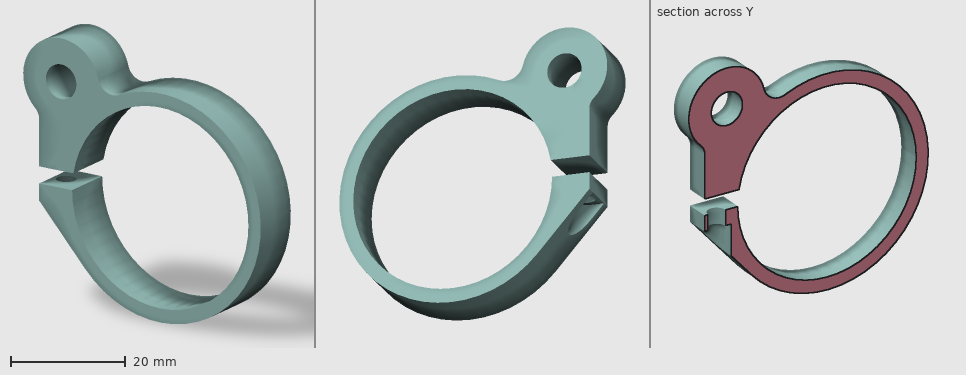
import cadquery as cq
import math

width = 9.5
ring_outer_radius = 20.95
ring_inner_radius = 18.4

eye_x = -20.67
eye_z = 19.45
eye_radius = 7.95
eye_hole_radius = 3.15

jaw_x = -25.3
gap = 3.1
lower_jaw_height = 3.1

ring_blend_radius = 3.15
jaw_blend_radius = 2.5

screw_x = -22.75
screw_hole_radius = 1.8
head_slot_width = 5.8


def disc(x, z, radius):
    """Cylinder along Y, as wide as the part and centred on Y = 0."""
    return cq.Workplane("XZ").center(x, z).circle(radius).extrude(width / 2, both=True)


def jaw_block():
    """Solid web joining eye and ring, with a lower face tangent to the ring."""
    corner_distance = math.hypot(jaw_x, lower_jaw_height)
    corner_angle = math.atan2(-lower_jaw_height, jaw_x)
    tangent_angle = corner_angle + math.acos(ring_outer_radius / corner_distance)
    tangent_point = (
        ring_outer_radius * math.cos(tangent_angle),
        ring_outer_radius * math.sin(tangent_angle),
    )
    outline = [(jaw_x, -lower_jaw_height), tangent_point, (0, 0), (eye_x, eye_z), (jaw_x, eye_z)]
    return cq.Workplane("XZ").polyline(outline).close().extrude(width / 2, both=True)


def upper_ring_eye_crossing():
    """X and Z of the upper point where the ring and eye circles cross."""
    distance = math.hypot(eye_x, eye_z)
    along = (distance**2 + ring_outer_radius**2 - eye_radius**2) / (2 * distance)
    angle = math.atan2(eye_z, eye_x) - math.acos(along / ring_outer_radius)
    return ring_outer_radius * math.cos(angle), ring_outer_radius * math.sin(angle)


def blend(body, point, radius):
    """Fillet the edge along Y that passes through the given X, Z point."""
    edge = cq.selectors.NearestToPointSelector((point[0], 0, point[1]))
    return body.edges("|Y").edges(edge).fillet(radius)


def screw_cutter():
    """Screw hole through the lower jaw and a head slot open at the jaw's end and below."""
    hole = cq.Workplane("XY").center(screw_x, 0).circle(screw_hole_radius).extrude(-lower_jaw_height)
    half_slot = head_slot_width / 2
    slot_start = jaw_x - half_slot
    head_slot = (
        cq.Workplane("XY", origin=(0, 0, -lower_jaw_height))
        .moveTo(slot_start, -half_slot)
        .lineTo(screw_x, -half_slot)
        .threePointArc((screw_x + half_slot, 0), (screw_x, half_slot))
        .lineTo(slot_start, half_slot)
        .close()
        .extrude(-ring_outer_radius)
    )
    return hole.union(head_slot)


body = disc(0, 0, ring_outer_radius).union(disc(eye_x, eye_z, eye_radius)).union(jaw_block())
body = blend(body, upper_ring_eye_crossing(), ring_blend_radius)
eye_to_jaw = abs(jaw_x - eye_x)
jaw_crossing = (jaw_x, eye_z - math.sqrt(eye_radius**2 - eye_to_jaw**2))
body = blend(body, jaw_crossing, jaw_blend_radius)

body = body.cut(disc(0, 0, ring_inner_radius))
body = body.cut(disc(eye_x, eye_z, eye_hole_radius))
gap_cutter = cq.Workplane("XY").box(-jaw_x, width, gap, centered=(False, True, False)).translate((jaw_x, 0, 0))
result = body.cut(gap_cutter).cut(screw_cutter())